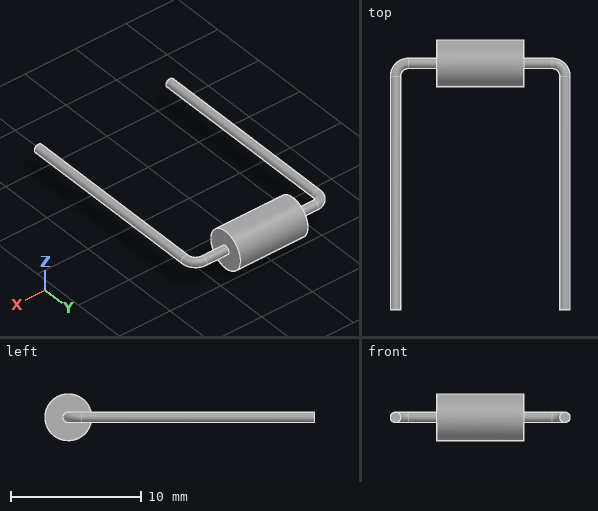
import cadquery as cq

overall_length = 20.7
overall_width = 13.8
body_diameter = 3.6
body_length = 6.69
lead_diameter = 0.8
bend_radius = 1.0

lead_radius = lead_diameter / 2
body_end_x = body_length / 2
leg_x = overall_width / 2 - lead_radius
lead_tip_y = body_diameter / 2 - overall_length


def make_body():
    """Plain cylinder centred on the origin, with its axis along X."""
    end_plane = cq.Workplane("YZ", origin=(-body_end_x, 0, 0))
    return end_plane.circle(body_diameter / 2).extrude(body_length)


def make_lead(side):
    """Round wire from one body end, bent toward -Y; side is -1 for -X or +1 for +X."""
    path = (
        cq.Workplane("XY")
        .moveTo(side * body_end_x, 0)
        .lineTo(side * (leg_x - bend_radius), 0)
        .tangentArcPoint((side * leg_x, -bend_radius), relative=False)
        .lineTo(side * leg_x, lead_tip_y)
    )
    section = cq.Workplane("YZ", origin=(side * body_end_x, 0, 0)).circle(lead_radius)
    return section.sweep(path)


body = make_body()
leads = [make_lead(side) for side in (-1, 1)]

result = cq.Compound.makeCompound([body.val(), *[lead.val() for lead in leads]])